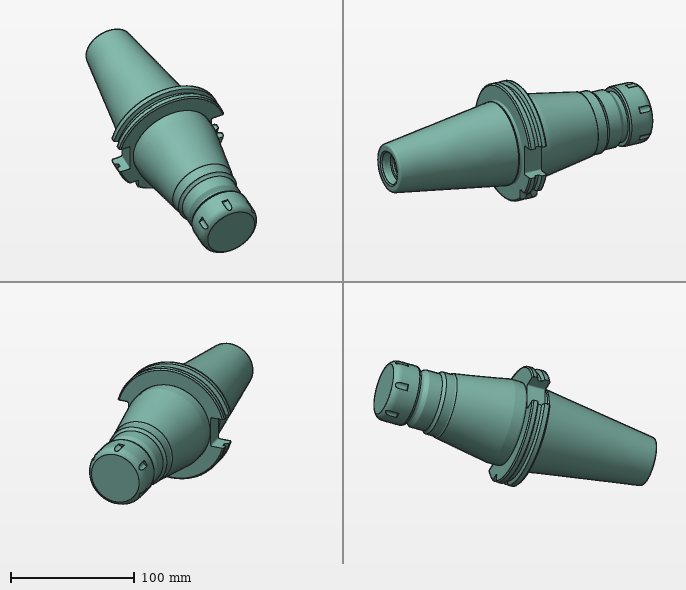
import cadquery as cq
import math

TOTAL_LENGTH = 231.5
FLANGE_START = 104.7
FLANGE_WIDTH = 15.7
FLANGE_END = FLANGE_START + FLANGE_WIDTH
NUT_START = 208.7

GAUGE_RADIUS = 35.0
GAUGE_POSITION = 101.7
TAPER_SLOPE = 7 / 48
TAPER_END = 100.7
TAPER_END_RADIUS = GAUGE_RADIUS - TAPER_SLOPE * (GAUGE_POSITION - TAPER_END)
SMALL_END_RADIUS = GAUGE_RADIUS - TAPER_SLOPE * GAUGE_POSITION
SMALL_END_FILLET = 2.0

RELIEF_RADIUS = 34.3
RELIEF_START = 102.0
RELIEF_FILLET = 1.0

FLANGE_DIAMETER = 97.5
FLANGE_RADIUS = FLANGE_DIAMETER / 2
FLANGE_CHAMFER = 1.2
GROOVE_CENTER = 112.8
GROOVE_MOUTH_WIDTH = 6.0
GROOVE_FLOOR_WIDTH = 3.0
GROOVE_DEPTH = 3.0

SLOT_WIDTH = 25.7
SLOT_FLOOR_FRONT = 37.5
SLOT_FLOOR_BACK = 35.5
NOTCH_Y = 29.9
NOTCH_Z = 29.6
SLOT_FILLET = 1.5

BODY_RADIUS = 35.2
BODY_UNDERCUT_DEPTH = 0.35
BODY_UNDERCUT_LENGTH = 1.2
BODY_END = 130.6
NOSE_CONE_END = 178.3
NOSE_CONE_END_RADIUS = 27.0
COLLAR_RADIUS = 26.2
COLLAR_FILLET = NOSE_CONE_END_RADIUS - COLLAR_RADIUS
COLLAR_END = 188.5
COLLAR_CHAMFER = 1.2
BARREL_START = 190.1
BARREL_RADIUS = 24.0
BARREL_END = 201.5
NECK_RADIUS = 21.3
NECK_START = 205.0
NECK_CONE_FILLET = 1.0

MOUTH_RADIUS = 14.5
CENTER_CONE_END = 1.2
CENTER_CONE_END_RADIUS = 13.5
PILOT_RADIUS = 12.7
PILOT_START = 3.5
PILOT_END = 8.3
THREAD_RADIUS = 12.0
THREAD_START = 9.3
THREAD_END = 11.3
BORE_RADIUS = 10.2
BORE_STEP_END = 13.7
BORE_DEPTH = 46.3
DRILL_TIP_ANGLE = 118

NUT_RADIUS = 25.0
NUT_BACK_CHAMFER_LENGTH = 1.6
NUT_BACK_CHAMFER_DEPTH = 0.7
NUT_ROUND_START = 225.3
NUT_ROUND_RADIUS = 7.0
WRENCH_SLOT_COUNT = 6
WRENCH_SLOT_START = 219.3
WRENCH_SLOT_RADIUS = 3.0
WRENCH_SLOT_DEPTH = 1.6


def revolve_about_x(profile):
    """Turn a closed (x, radius) profile once round the X axis."""
    return profile.close().revolve(360, (0, 0, 0), (1, 0, 0))


def make_turned_blank():
    """Outer shape of the holder, from the small end of the taper to the nut."""
    rim_start = FLANGE_START + FLANGE_CHAMFER
    rim_end = FLANGE_END - FLANGE_CHAMFER
    chamfer_radius = FLANGE_RADIUS - FLANGE_CHAMFER
    groove_floor = FLANGE_RADIUS - GROOVE_DEPTH
    fillet_mid = 1 - math.sqrt(0.5)
    profile = (
        cq.Workplane("XY")
        .moveTo(0, 0)
        .lineTo(0, SMALL_END_RADIUS)
        .lineTo(TAPER_END, TAPER_END_RADIUS)
        .lineTo(RELIEF_START, RELIEF_RADIUS)
        .lineTo(FLANGE_START - RELIEF_FILLET, RELIEF_RADIUS)
        .threePointArc(
            (FLANGE_START - RELIEF_FILLET * fillet_mid, RELIEF_RADIUS + RELIEF_FILLET * fillet_mid),
            (FLANGE_START, RELIEF_RADIUS + RELIEF_FILLET),
        )
        .lineTo(FLANGE_START, chamfer_radius)
        .lineTo(rim_start, FLANGE_RADIUS)
        .lineTo(GROOVE_CENTER - GROOVE_MOUTH_WIDTH / 2, FLANGE_RADIUS)
        .lineTo(GROOVE_CENTER - GROOVE_FLOOR_WIDTH / 2, groove_floor)
        .lineTo(GROOVE_CENTER + GROOVE_FLOOR_WIDTH / 2, groove_floor)
        .lineTo(GROOVE_CENTER + GROOVE_MOUTH_WIDTH / 2, FLANGE_RADIUS)
        .lineTo(rim_end, FLANGE_RADIUS)
        .lineTo(FLANGE_END, chamfer_radius)
        .lineTo(FLANGE_END, BODY_RADIUS - BODY_UNDERCUT_DEPTH)
        .lineTo(FLANGE_END + BODY_UNDERCUT_LENGTH, BODY_RADIUS)
        .lineTo(BODY_END, BODY_RADIUS)
        .lineTo(NOSE_CONE_END, NOSE_CONE_END_RADIUS)
        .threePointArc(
            (NOSE_CONE_END + COLLAR_FILLET * fillet_mid, COLLAR_RADIUS + COLLAR_FILLET * fillet_mid),
            (NOSE_CONE_END + COLLAR_FILLET, COLLAR_RADIUS),
        )
        .lineTo(COLLAR_END - COLLAR_CHAMFER, COLLAR_RADIUS)
        .lineTo(COLLAR_END, COLLAR_RADIUS - COLLAR_CHAMFER)
        .lineTo(BARREL_START, BARREL_RADIUS)
        .lineTo(BARREL_END, BARREL_RADIUS)
        .lineTo(NECK_START, NECK_RADIUS)
        .lineTo(NUT_START, NECK_RADIUS)
        .lineTo(NUT_START, 0)
    )
    blank = revolve_about_x(profile)
    blank = blank.faces("<X").edges().fillet(SMALL_END_FILLET)
    for cone_edge in (BARREL_END, NECK_START):
        nearest_circle = cq.selectors.NearestToPointSelector((cone_edge, 0, 0))
        blank = blank.edges("%CIRCLE").edges(nearest_circle).fillet(NECK_CONE_FILLET)
    return blank


def make_bore():
    """Drawbar bore: countersunk mouth, pilot, thread, step and drilled hole with a conical tip."""
    tip_length = BORE_RADIUS / math.tan(math.radians(DRILL_TIP_ANGLE / 2))
    profile = (
        cq.Workplane("XY")
        .moveTo(0, 0)
        .lineTo(0, MOUTH_RADIUS)
        .lineTo(CENTER_CONE_END, CENTER_CONE_END_RADIUS)
        .lineTo(PILOT_START, PILOT_RADIUS)
        .lineTo(PILOT_END, PILOT_RADIUS)
        .lineTo(THREAD_START, THREAD_RADIUS)
        .lineTo(THREAD_END, THREAD_RADIUS)
        .lineTo(BORE_STEP_END, BORE_RADIUS)
        .lineTo(BORE_DEPTH, BORE_RADIUS)
        .lineTo(BORE_DEPTH + tip_length, 0)
    )
    return revolve_about_x(profile)


def make_rim_cut(y_near, y_far, z_low, z_high):
    """Rectangular cutter through the flange width, with its lengthwise edges rounded."""
    cutter = cq.Workplane("XY").box(FLANGE_WIDTH, abs(y_far - y_near), z_high - z_low)
    middle = (FLANGE_START + FLANGE_WIDTH / 2, (y_near + y_far) / 2, (z_low + z_high) / 2)
    return cutter.edges("|X").fillet(SLOT_FILLET).translate(middle)


def make_holder():
    clear = FLANGE_RADIUS + 2 * SLOT_FILLET
    half_slot = SLOT_WIDTH / 2
    return (
        make_turned_blank()
        .cut(make_bore())
        .cut(make_rim_cut(-SLOT_FLOOR_FRONT, -clear, -half_slot, half_slot))
        .cut(make_rim_cut(SLOT_FLOOR_BACK, clear, -half_slot, half_slot))
        .cut(make_rim_cut(-NOTCH_Y, -clear, -clear, -NOTCH_Z))
    )


def make_nut():
    """Clamping nut with a rounded front edge and scalloped wrench slots."""
    round_drop = NUT_ROUND_RADIUS - math.sqrt(
        NUT_ROUND_RADIUS**2 - (TOTAL_LENGTH - NUT_ROUND_START) ** 2
    )
    profile = (
        cq.Workplane("XY")
        .moveTo(NUT_START, 0)
        .lineTo(NUT_START, NUT_RADIUS - NUT_BACK_CHAMFER_DEPTH)
        .lineTo(NUT_START + NUT_BACK_CHAMFER_LENGTH, NUT_RADIUS)
        .lineTo(NUT_ROUND_START, NUT_RADIUS)
        .radiusArc((TOTAL_LENGTH, NUT_RADIUS - round_drop), NUT_ROUND_RADIUS)
        .lineTo(TOTAL_LENGTH, 0)
    )
    nut = revolve_about_x(profile)
    slot_center = NUT_RADIUS - WRENCH_SLOT_DEPTH + WRENCH_SLOT_RADIUS
    slot = (
        cq.Workplane("YZ", origin=(WRENCH_SLOT_START, 0, 0))
        .center(0, slot_center)
        .circle(WRENCH_SLOT_RADIUS)
        .extrude(TOTAL_LENGTH - WRENCH_SLOT_START)
    )
    for index in range(WRENCH_SLOT_COUNT):
        angle = index * 360 / WRENCH_SLOT_COUNT
        nut = nut.cut(slot.rotate((0, 0, 0), (1, 0, 0), angle))
    return nut


holder = make_holder()
nut = make_nut()
result = cq.Compound.makeCompound([holder.val(), nut.val()])